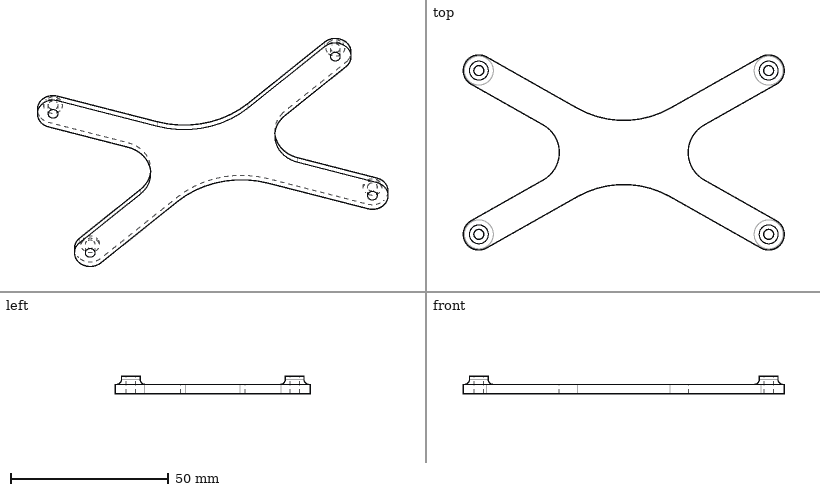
import cadquery as cq
import math

HOLE_SPACING_X = 92.0
HOLE_SPACING_Y = 52.0
HOLE_DIAMETER = 3.1

ARM_WIDTH = 10.0
PLATE_THICKNESS = 3.0
WIDE_CROTCH_RADIUS = 30.0
NARROW_CROTCH_RADIUS = 10.0

BOSS_DIAMETER = 6.0
BOSS_HEIGHT = 2.6
BOSS_FILLET_RADIUS = 1.6

ARM_LENGTH = math.hypot(HOLE_SPACING_X, HOLE_SPACING_Y) + ARM_WIDTH
ARM_ANGLE = math.degrees(math.atan2(HOLE_SPACING_Y, HOLE_SPACING_X))
TOTAL_HEIGHT = PLATE_THICKNESS + BOSS_HEIGHT


def make_arm(angle):
    """Round-ended bar through the origin, turned by angle degrees about Z."""
    return (
        cq.Workplane("XY")
        .transformed(rotate=(0, 0, angle))
        .slot2D(ARM_LENGTH, ARM_WIDTH)
        .extrude(PLATE_THICKNESS)
    )


def make_plate():
    """X-shaped plate with each inside corner between the arms rounded."""
    plate = make_arm(ARM_ANGLE).union(make_arm(-ARM_ANGLE))

    crotch_x = ARM_WIDTH / 2 / math.sin(math.radians(ARM_ANGLE))
    crotch_y = ARM_WIDTH / 2 / math.cos(math.radians(ARM_ANGLE))
    mid_height = PLATE_THICKNESS / 2
    for side in (-1, 1):
        wide_corner = cq.selectors.NearestToPointSelector((0, side * crotch_y, mid_height))
        plate = plate.edges("|Z").edges(wide_corner).fillet(WIDE_CROTCH_RADIUS)
        narrow_corner = cq.selectors.NearestToPointSelector((side * crotch_x, 0, mid_height))
        plate = plate.edges("|Z").edges(narrow_corner).fillet(NARROW_CROTCH_RADIUS)
    return plate


def make_boss():
    """Round standoff on the Z axis with a concave flare where it meets the plate."""
    boss_radius = BOSS_DIAMETER / 2
    flare_radius = boss_radius + BOSS_FILLET_RADIUS
    flare_top = PLATE_THICKNESS + BOSS_FILLET_RADIUS
    arc_offset = BOSS_FILLET_RADIUS * math.sin(math.radians(45))
    return (
        cq.Workplane("XZ")
        .moveTo(0, 0)
        .lineTo(flare_radius, 0)
        .lineTo(flare_radius, PLATE_THICKNESS)
        .threePointArc(
            (flare_radius - arc_offset, flare_top - arc_offset),
            (boss_radius, flare_top),
        )
        .lineTo(boss_radius, TOTAL_HEIGHT)
        .lineTo(0, TOTAL_HEIGHT)
        .close()
        .revolve(360, (0, 0, 0), (0, 1, 0))
    )


def add_mounts(plate):
    """Put a boss and a through hole at the end of each arm."""
    boss = make_boss()
    hole = cq.Workplane("XY").circle(HOLE_DIAMETER / 2).extrude(TOTAL_HEIGHT)
    for side_x in (-1, 1):
        for side_y in (-1, 1):
            centre = (side_x * HOLE_SPACING_X / 2, side_y * HOLE_SPACING_Y / 2, 0)
            plate = plate.union(boss.translate(centre)).cut(hole.translate(centre))
    return plate


result = add_mounts(make_plate())